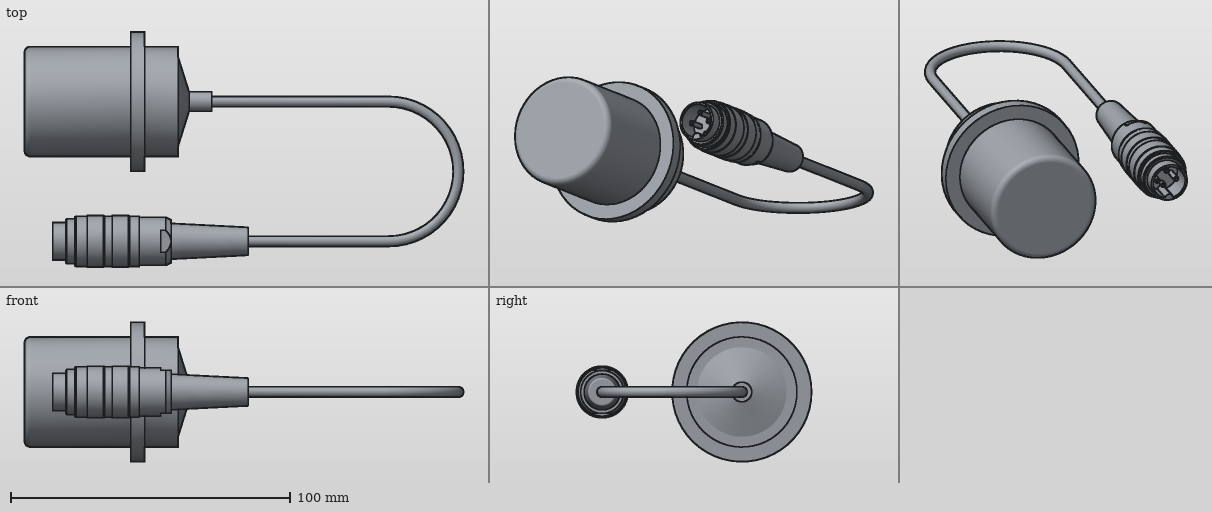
import cadquery as cq
import math

TOTAL_LENGTH = 157.2

HOUSING_DIA = 39.5
HOUSING_LENGTH = 55.0
HOUSING_FRONT_FILLET = 2.2
FLANGE_DIA = 50.0
FLANGE_START = 38.0
FLANGE_END = 43.0
CONE_BASE_DIA = 32.0
CONE_END = 59.0
NECK_DIA = 7.0
NECK_END = 67.1
VENT_DIA = 1.5
VENT_DEPTH = 1.5
VENT_X = 49.0

CABLE_DIA = 3.8
AXIS_SPACING = 50.0
BEND_RADIUS = AXIS_SPACING / 2
BEND_X = TOTAL_LENGTH - CABLE_DIA / 2 - BEND_RADIUS

CONNECTOR_Y = -AXIS_SPACING
SHELL_START = 10.0
SHELL_DIA = 13.5
COLLAR_START = 14.8
COLLAR_DIA = 16.2
COLLAR_CHAMFER = 0.5
SLEEVE_START = 18.0
SLEEVE_DIA = 18.0
SLEEVE_END = 41.2
SLEEVE_BEVEL_LENGTH = 0.5
BAND_DIA = 18.5
BAND_LIP = (BAND_DIA - SLEEVE_DIA) / 2
BAND_STARTS = (22.5, 31.5)
BAND_WIDTH = 6.3
BACK_DIA = 17.3
BACK_TAPER_START = 50.6
BACK_END = 52.5
BACK_END_DIA = 15.4
BOOT_START_DIA = 12.9
BOOT_END_DIA = 10.0
BOOT_END = 80.2
BOOT_FILLET = 0.6

FLAT_START = 48.7
FLAT_HEIGHT = 7.7

SOCKET_DIA = 12.0
SOCKET_DEPTH = 9.0
RIB_DIA = 3.0
PIN_DIA = 1.7
PIN_TIP_CHAMFER = 0.36
PIN_CIRCLE_DIA = 6.9
LONG_PIN_ANGLES = (0.0, 90.0, 180.0)
LONG_PIN_TIP_DEPTH = 2.2
SHORT_PIN_ANGLE = 270.0
SHORT_PIN_TIP_DEPTH = 6.3
PIN_EMBEDMENT = 3.1

SOCKET_FLOOR = SHELL_START + SOCKET_DEPTH


def rod(start, end, diameter, y=0.0, z=0.0):
    """A cylinder along X between two X positions."""
    plane = cq.Workplane("YZ", origin=(start, y, z))
    return plane.circle(diameter / 2).extrude(end - start)


def frustum(start, end, start_dia, end_dia, y=0.0):
    """A truncated cone along X."""
    outline = [(start, 0), (start, start_dia / 2), (end, end_dia / 2), (end, 0)]
    turned = cq.Workplane("XY").polyline(outline).close().revolve(360, (0, 0, 0), (1, 0, 0))
    return turned.translate((0, y, 0))


def make_housing():
    """Flanged cylinder with a conical back and a cable neck."""
    barrel = rod(0, HOUSING_LENGTH, HOUSING_DIA).faces("<X").edges().fillet(HOUSING_FRONT_FILLET)
    flange = rod(FLANGE_START, FLANGE_END, FLANGE_DIA)
    cone = frustum(HOUSING_LENGTH, CONE_END, CONE_BASE_DIA, NECK_DIA)
    neck = rod(CONE_END, NECK_END, NECK_DIA)
    vent_plane = cq.Workplane("XZ", origin=(VENT_X, -HOUSING_DIA / 2, 0))
    vent = vent_plane.circle(VENT_DIA / 2).extrude(-VENT_DEPTH)
    return barrel.union(flange).union(cone).union(neck).cut(vent)


def make_cable():
    """Round cable from the housing neck, around the bend, to the connector boot."""
    path = (
        cq.Workplane("XY")
        .moveTo(NECK_END, 0)
        .lineTo(BEND_X, 0)
        .threePointArc((BEND_X + BEND_RADIUS, -BEND_RADIUS), (BEND_X, CONNECTOR_Y))
        .lineTo(BOOT_END, CONNECTOR_Y)
    )
    return cq.Workplane("YZ", origin=(NECK_END, 0, 0)).circle(CABLE_DIA / 2).sweep(path)


def make_connector_body():
    """Solid outside of the connector: shell, collar, banded sleeve, back and boot."""
    body = rod(SHELL_START, COLLAR_START, SHELL_DIA, CONNECTOR_Y)
    collar = rod(COLLAR_START, SLEEVE_START, COLLAR_DIA, CONNECTOR_Y)
    sleeve = rod(SLEEVE_START, SLEEVE_END, SLEEVE_DIA, CONNECTOR_Y)
    body = body.union(collar.faces("<X").edges().chamfer(COLLAR_CHAMFER))
    body = body.union(sleeve.faces("<X").edges().chamfer(SLEEVE_BEVEL_LENGTH, BAND_LIP))
    for start in BAND_STARTS:
        end = start + BAND_WIDTH
        band = rod(start, end, BAND_DIA, CONNECTOR_Y)
        body = body.union(band.faces(">X").edges().chamfer(SLEEVE_BEVEL_LENGTH, BAND_LIP))
    boot = frustum(BACK_END, BOOT_END, BOOT_START_DIA, BOOT_END_DIA, CONNECTOR_Y)
    boot = boot.faces(">X").edges().fillet(BOOT_FILLET)
    return body.union(make_connector_back()).union(boot)


def make_connector_back():
    """Tapered back of the connector with its two wrench flats."""
    back = rod(SLEEVE_END, BACK_TAPER_START, BACK_DIA, CONNECTOR_Y)
    back = back.union(frustum(BACK_TAPER_START, BACK_END, BACK_DIA, BACK_END_DIA, CONNECTOR_Y))
    flat_length = BACK_END - FLAT_START
    for side in (1, -1):
        cutter = cq.Workplane("XY").box(flat_length, BACK_DIA, BACK_DIA)
        cutter_z = side * (FLAT_HEIGHT + BACK_DIA / 2)
        back = back.cut(cutter.translate((FLAT_START + flat_length / 2, CONNECTOR_Y, cutter_z)))
    return back


def make_socket():
    """Open front cavity, less the round keying rib along its bottom."""
    cavity = rod(SHELL_START, SOCKET_FLOOR, SOCKET_DIA, CONNECTOR_Y)
    rib = rod(SHELL_START, SOCKET_FLOOR, RIB_DIA, CONNECTOR_Y, -SOCKET_DIA / 2)
    return cavity.cut(rib)


def make_pin(angle, tip_depth):
    """One contact pin with a chamfered tip, set into the socket floor."""
    y = CONNECTOR_Y + PIN_CIRCLE_DIA / 2 * math.cos(math.radians(angle))
    z = PIN_CIRCLE_DIA / 2 * math.sin(math.radians(angle))
    pin = rod(SHELL_START + tip_depth, SOCKET_FLOOR + PIN_EMBEDMENT, PIN_DIA, y, z)
    return pin.faces("<X").edges().chamfer(PIN_TIP_CHAMFER)


def make_pins():
    """Three long pins at the sides and top, and a shorter one above the rib."""
    pins = [make_pin(angle, LONG_PIN_TIP_DEPTH) for angle in LONG_PIN_ANGLES]
    pins.append(make_pin(SHORT_PIN_ANGLE, SHORT_PIN_TIP_DEPTH))
    return pins


def make_connector(pins):
    """Connector with its socket and a matching hole for each pin."""
    connector = make_connector_body().cut(make_socket())
    for pin in pins:
        connector = connector.cut(pin)
    return connector


housing = make_housing()
cable = make_cable()
pins = make_pins()
connector = make_connector(pins)

result = cq.Compound.makeCompound(
    [housing.val(), cable.val(), connector.val(), *[pin.val() for pin in pins]]
)